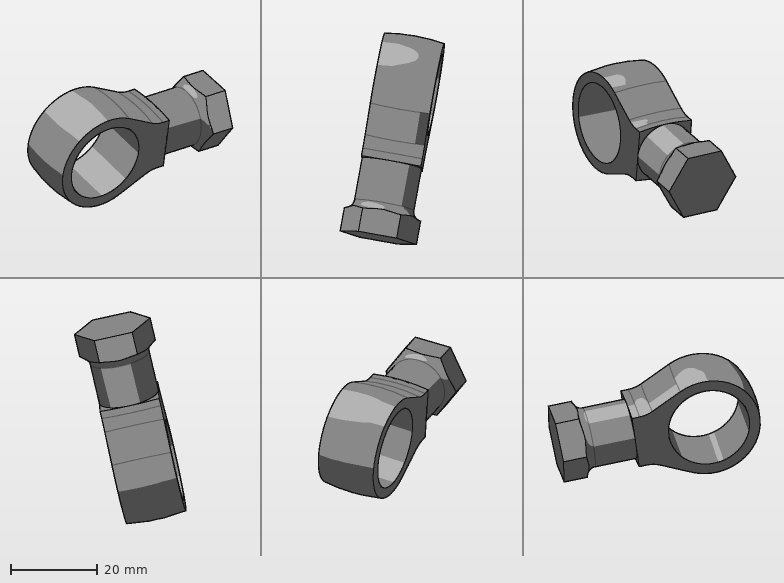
import cadquery as cq
import math

overall_length = 48.3
ring_diameter = 25.25
bore_diameter = 19.05
ring_width = 14.0
crown_rise = 0.6
stem_diameter = 14.0
stem_tilt = 7.5
neck_taper = 26.8
neck_fillet = 6.35
neck_end = 17.45
corner_width = 17.95
flare_radius = 2.15
flare_end_offset = 7.7
band_depth = 1.95
core_inset = 1.45

ring_radius = ring_diameter / 2
stem_radius = stem_diameter / 2
half_width = ring_width / 2
taper = math.radians(neck_taper)
tilt = math.radians(stem_tilt)
half_flats = corner_width / 2 * math.cos(math.pi / 6)
hex_end = (overall_length - ring_radius - half_flats * math.sin(tilt)) / math.cos(tilt)


def neck_outline(inset, closed):
    """Ring and neck outline in the YZ plane, moved inward by inset."""
    radius = ring_radius - inset
    height = stem_radius - inset
    fillet = neck_fillet + inset
    tangent_y = radius * math.sin(taper)
    tangent_z = radius * math.cos(taper)
    corner_y = (radius - height * math.cos(taper)) / math.sin(taper)
    tangent_length = fillet * math.tan(taper / 2)
    fillet_start_y = corner_y + tangent_length
    fillet_center_z = height + fillet
    fillet_mid_y = fillet_start_y - fillet * math.sin(taper / 2)
    fillet_mid_z = fillet_center_z - fillet * math.cos(taper / 2)
    fillet_end_y = corner_y - tangent_length * math.cos(taper)
    fillet_end_z = height + tangent_length * math.sin(taper)
    outline = (
        cq.Workplane("YZ")
        .moveTo(neck_end, height)
        .lineTo(fillet_start_y, height)
        .threePointArc((fillet_mid_y, fillet_mid_z), (fillet_end_y, fillet_end_z))
        .lineTo(tangent_y, tangent_z)
        .threePointArc((-radius, 0), (tangent_y, -tangent_z))
        .lineTo(fillet_end_y, -fillet_end_z)
        .threePointArc((fillet_mid_y, -fillet_mid_z), (fillet_start_y, -height))
        .lineTo(neck_end, -height)
    )
    return outline.close() if closed else outline.wire()


def make_eye():
    """Flat core wrapped by a crowned band, open at the stem end."""
    core = neck_outline(core_inset, True).extrude(half_width, both=True)
    band = (
        cq.Workplane("XZ", origin=(0, neck_end, 0))
        .moveTo(-half_width, stem_radius - crown_rise)
        .threePointArc((0, stem_radius), (half_width, stem_radius - crown_rise))
        .lineTo(half_width, stem_radius - band_depth)
        .lineTo(-half_width, stem_radius - band_depth)
        .close()
        .sweep(neck_outline(0, False))
    )
    return core.union(band)


def make_stem():
    """Round stem flaring concavely into a hexagonal head."""
    flare_end = hex_end - flare_end_offset
    turned = (
        cq.Workplane("XY")
        .lineTo(stem_radius, 0)
        .lineTo(stem_radius, flare_end)
        .threePointArc(
            (
                stem_radius + flare_radius * (1 - math.cos(math.pi / 4)),
                flare_end + flare_radius * math.sin(math.pi / 4),
            ),
            (stem_radius + flare_radius, flare_end + flare_radius),
        )
        .lineTo(stem_radius + flare_radius, hex_end)
        .lineTo(0, hex_end)
        .close()
        .revolve(360, (0, 0, 0), (0, 1, 0))
    )
    hexagon = cq.Workplane("XZ").polygon(6, corner_width).extrude(-hex_end)
    stem = turned.intersect(hexagon)
    beyond_neck = cq.Workplane("XZ", origin=(0, neck_end, 0)).rect(
        2 * corner_width, 2 * corner_width
    ).extrude(neck_end - hex_end)
    return stem.intersect(beyond_neck)


bore = cq.Workplane("YZ").circle(bore_diameter / 2).extrude(ring_width, both=True)
level_part = make_eye().union(make_stem()).cut(bore)
result = level_part.rotate((0, 0, 0), (1, 0, 0), -stem_tilt)